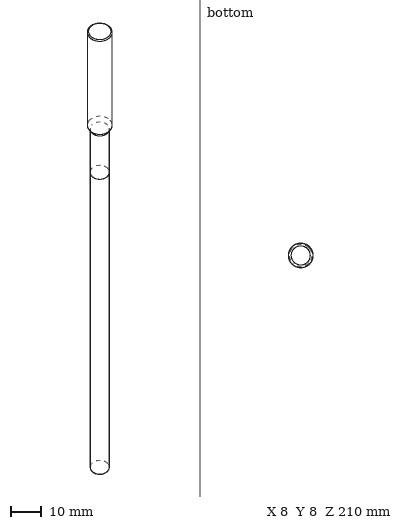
import cadquery as cq
import math

total_length = 210.0
shank_diameter = 8.0
shank_length = 45.0
shank_chamfer = 0.4
taper_length = 1.75
head_length = 67.5
drill_diameter = 6.15
point_angle = 140.0

shank_radius = shank_diameter / 2
drill_radius = drill_diameter / 2
point_height = drill_radius / math.tan(math.radians(point_angle / 2))

joint_z = total_length - head_length
shank_bottom_z = total_length - shank_length
neck_top_z = shank_bottom_z - taper_length


def turned(profile):
    """Revolve a closed (radius, height) outline about Z."""
    return cq.Workplane("XZ").polyline(profile).close().revolve(360, (0, 0), (0, 1))


def make_holder():
    """Chamfered shank that tapers down to a neck of the drill's diameter."""
    return turned([
        (0, joint_z),
        (drill_radius, joint_z),
        (drill_radius, neck_top_z),
        (shank_radius, shank_bottom_z),
        (shank_radius, total_length - shank_chamfer),
        (shank_radius - shank_chamfer, total_length),
        (0, total_length),
    ])


def make_drill_rod():
    """Long plain rod that meets the neck end to end and ends in a conical point."""
    return turned([
        (0, 0),
        (drill_radius, point_height),
        (drill_radius, joint_z),
        (0, joint_z),
    ])


holder = make_holder()
drill_rod = make_drill_rod()

result = cq.Compound.makeCompound([holder.val(), drill_rod.val()])